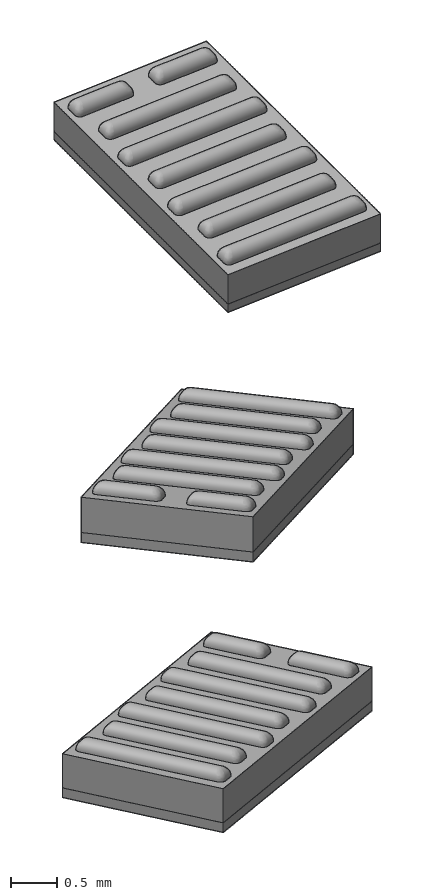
import cadquery as cq

length = 3.5
width = 1.95
total_height = 0.64
base_thickness = 0.115

bar_height = 0.12
bar_width = 0.25
bar_corner_radius = 0.065
bar_side_wall = 0.001
bar_edge_radius = bar_height - bar_side_wall
column_count = 7
bar_pitch = length / column_count
long_bar_length = 1.81
medium_bar_length = 1.665
rear_short_bar_length = 0.785
front_short_bar_length = 0.742

body_thickness = total_height - base_thickness - bar_height
block_top = base_thickness + body_thickness


def make_layer(bottom, thickness):
    """Full-size rectangular layer, centred in X and Y."""
    return cq.Workplane("XY").workplane(offset=bottom).rect(length, width).extrude(thickness)


def make_bar(x, y, bar_length):
    """Bar along Y with rounded plan corners and a rounded top rim."""
    return (
        cq.Workplane("XY")
        .box(bar_width, bar_length, bar_height, centered=(True, True, False))
        .edges("|Z")
        .fillet(bar_corner_radius)
        .faces(">Z")
        .edges()
        .fillet(bar_edge_radius)
        .translate((x, y, block_top))
    )


base = make_layer(0, base_thickness)
body = make_layer(base_thickness, body_thickness)

first_column_x = -bar_pitch * (column_count - 1) / 2
rear_short_y = (long_bar_length - rear_short_bar_length) / 2
front_short_y = (front_short_bar_length - long_bar_length) / 2
bars = [
    make_bar(first_column_x, rear_short_y, rear_short_bar_length),
    make_bar(first_column_x, front_short_y, front_short_bar_length),
]

for column in range(1, column_count):
    bar_length = medium_bar_length if column % 2 else long_bar_length
    bars.append(make_bar(first_column_x + column * bar_pitch, 0, bar_length))

result = cq.Compound.makeCompound([base.val(), body.val(), *[bar.val() for bar in bars]])